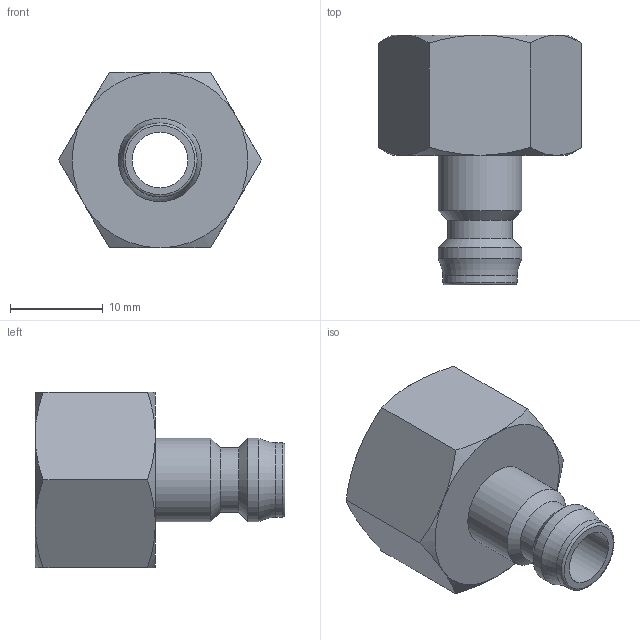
import cadquery as cq
import math


across_flats = 19.0
hex_length = 13.0
chamfer_angle = 30.0

plug_diameter = 9.0
groove_diameter = 7.0
tip_diameter = 8.0
bore_diameter = 6.0

plug_length = 14.0
shank_length = 6.0
groove_width = 2.0
collar_width = 1.2
tip_length = 1.0
tip_fillet = 0.25
shoulder_radius = 6.0

across_corners = across_flats / math.cos(math.radians(30))
corner_overhang = (across_corners - across_flats) / 2
chamfer_depth = corner_overhang * math.tan(math.radians(chamfer_angle))
plug_radius = plug_diameter / 2
groove_radius = groove_diameter / 2
tip_radius = tip_diameter / 2
groove_slope = plug_radius - groove_radius

groove_start = shank_length + groove_slope
groove_end = groove_start + groove_width
collar_start = groove_end + groove_slope
collar_end = collar_start + collar_width
tip_start = plug_length - tip_length


def turned(profile):
    """Revolve a closed XY profile about the Y axis."""
    return profile.close().revolve(360, (0, 0, 0), (0, 1, 0))


def hex_body():
    """Hexagon with corners on +-X, both ends chamfered by a turned envelope."""
    prism = cq.Workplane("XZ").polygon(6, across_corners).extrude(-hex_length)
    flat_radius = across_flats / 2
    corner_radius = across_corners / 2
    envelope = turned(
        cq.Workplane("XY")
        .moveTo(0, 0)
        .lineTo(flat_radius, 0)
        .lineTo(corner_radius, chamfer_depth)
        .lineTo(corner_radius, hex_length - chamfer_depth)
        .lineTo(flat_radius, hex_length)
        .lineTo(0, hex_length)
    )
    return prism.intersect(envelope)


def shoulder_midpoint():
    """Middle of the concave arc between the collar and the tip, as (radius, Y)."""
    rise = plug_radius - tip_radius
    run = tip_start - collar_end
    chord = math.hypot(rise, run)
    sag = shoulder_radius - math.sqrt(shoulder_radius**2 - (chord / 2) ** 2)
    radius = (plug_radius + tip_radius) / 2 - sag * run / chord
    station = (collar_end + tip_start) / 2 - sag * rise / chord
    return radius, -station


def plug_nipple():
    """Shank, locking groove, collar and rounded tip."""
    nipple = turned(
        cq.Workplane("XY")
        .moveTo(0, 0)
        .lineTo(plug_radius, 0)
        .lineTo(plug_radius, -shank_length)
        .lineTo(groove_radius, -groove_start)
        .lineTo(groove_radius, -groove_end)
        .lineTo(plug_radius, -collar_start)
        .lineTo(plug_radius, -collar_end)
        .threePointArc(shoulder_midpoint(), (tip_radius, -tip_start))
        .lineTo(tip_radius, -plug_length)
        .lineTo(0, -plug_length)
    )
    return nipple.faces("<Y").edges().fillet(tip_fillet)


def bore():
    """Straight bore through the whole part."""
    total_length = plug_length + hex_length
    return (
        cq.Workplane("XZ", origin=(0, hex_length, 0))
        .circle(bore_diameter / 2)
        .extrude(total_length)
    )


result = hex_body().union(plug_nipple()).cut(bore())